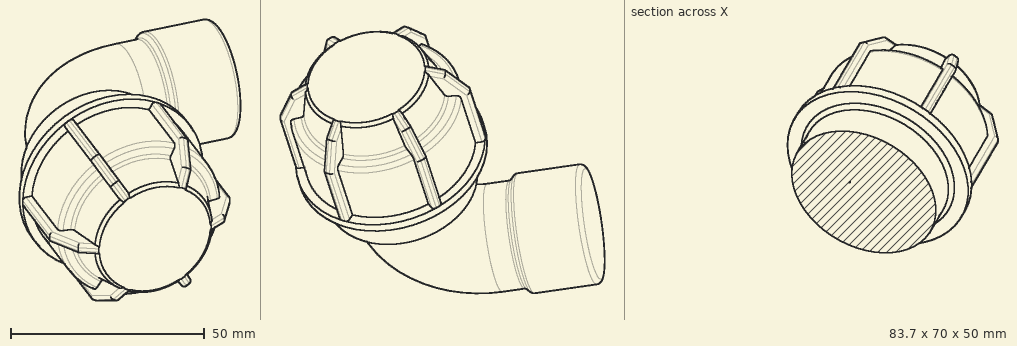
import cadquery as cq
import math


MATCH_TOLERANCE = 0.001

TUBE_RADIUS = 28.22 / 2
INNER_BEND_RADIUS = 5.0
BEND_RADIUS = INNER_BEND_RADIUS + TUBE_RADIUS

SPIGOT_RADIUS = 31.35 / 2
SPIGOT_END = 45.0
SPIGOT_START = 27.0
SPIGOT_STEP = SPIGOT_RADIUS - TUBE_RADIUS
SPIGOT_TIP_FILLET = 1.25
SPIGOT_STEP_FILLET = 1.0

SLEEVE_RADIUS = 20.0
SLEEVE_START = BEND_RADIUS + SLEEVE_RADIUS - TUBE_RADIUS
SLEEVE_END = 35.0
FLARE_LENGTH = 1.2

FLANGE_RADIUS = 25.0
FLANGE_START = SLEEVE_END + FLARE_LENGTH
FLANGE_THICKNESS = 2.5
FLANGE_END = FLANGE_START + FLANGE_THICKNESS

NUT_LENGTH = 31.8
NUT_END = FLANGE_START + NUT_LENGTH
BODY_RADIUS = 22.5
BODY_END = 57.5
BODY_END_RISE = 0.5
NECK_START = BODY_END + BODY_END_RISE
BODY_FILLET = 1.2
NECK_ROOT_RADIUS = 18.8
NECK_END_CHAMFER = 0.9
NECK_END_RADIUS = 16.3
NECK_TIP_RADIUS = NECK_END_RADIUS - NECK_END_CHAMFER
NECK_ROOT_FILLET = 1.0

RIB_COUNT = 6
RIB_WIDTH = 2.8
RIB_EDGE_FILLET = 0.9
RIB_RADIUS = FLANGE_RADIUS
RIB_BEVEL_END = 65.5
RIB_BEVEL_RADIUS = 20.3
RIB_TIP_RADIUS = 15.6
RIB_ROOT_RADIUS = 10.0


def fillet_ring(turned, axis, position, ring_radius, fillet_radius):
    """Round the circular edge of a turned solid at one position along its axis."""
    point = tuple(position if name == axis else 0 for name in "XYZ")
    rings = [
        edge
        for edge in turned.edges("%CIRCLE").vals()
        if math.dist(edge.arcCenter().toTuple(), point) < MATCH_TOLERANCE
        and abs(edge.radius() - ring_radius) < MATCH_TOLERANCE
    ]
    return turned.newObject(rings).fillet(fillet_radius)


def make_bend():
    """Quarter-torus tube joining the two legs."""
    return (
        cq.Workplane("XZ", origin=(0, BEND_RADIUS, 0))
        .circle(TUBE_RADIUS)
        .revolve(90, (BEND_RADIUS, 0, 0), (BEND_RADIUS, 1, 0))
    )


def make_spigot():
    """Tube stub and wider spigot, turned about the Y axis."""
    spigot = (
        cq.Workplane("XY")
        .moveTo(0, BEND_RADIUS)
        .lineTo(TUBE_RADIUS, BEND_RADIUS)
        .lineTo(TUBE_RADIUS, SPIGOT_START - SPIGOT_STEP)
        .lineTo(SPIGOT_RADIUS, SPIGOT_START)
        .lineTo(SPIGOT_RADIUS, SPIGOT_END)
        .lineTo(0, SPIGOT_END)
        .close()
        .revolve(360, (0, 0, 0), (0, 1, 0))
    )
    step_bottom = SPIGOT_START - SPIGOT_STEP
    spigot = fillet_ring(spigot, "Y", step_bottom, TUBE_RADIUS, SPIGOT_STEP_FILLET)
    spigot = fillet_ring(spigot, "Y", SPIGOT_START, SPIGOT_RADIUS, SPIGOT_STEP_FILLET)
    return fillet_ring(spigot, "Y", SPIGOT_END, SPIGOT_RADIUS, SPIGOT_TIP_FILLET)


def make_sleeve_and_nut():
    """Sleeve, flange, nut body and neck, turned about the X axis."""
    turned = (
        cq.Workplane("XY")
        .moveTo(BEND_RADIUS, 0)
        .lineTo(BEND_RADIUS, TUBE_RADIUS)
        .lineTo(SLEEVE_START, SLEEVE_RADIUS)
        .lineTo(SLEEVE_END, SLEEVE_RADIUS)
        .lineTo(FLANGE_START, SLEEVE_RADIUS + FLARE_LENGTH)
        .lineTo(FLANGE_START, FLANGE_RADIUS)
        .lineTo(FLANGE_END, FLANGE_RADIUS)
        .lineTo(FLANGE_END, BODY_RADIUS)
        .lineTo(BODY_END, BODY_RADIUS)
        .lineTo(NECK_START, NECK_ROOT_RADIUS)
        .lineTo(NUT_END - NECK_END_CHAMFER, NECK_END_RADIUS)
        .lineTo(NUT_END, NECK_TIP_RADIUS)
        .lineTo(NUT_END, 0)
        .close()
        .revolve(360, (0, 0, 0), (1, 0, 0))
    )
    turned = fillet_ring(turned, "X", BODY_END, BODY_RADIUS, BODY_FILLET)
    return fillet_ring(turned, "X", NECK_START, NECK_ROOT_RADIUS, NECK_ROOT_FILLET)


def make_rib():
    """One grip rib on the +Y side of the nut with rounded outer edges."""
    rib = (
        cq.Workplane("XY")
        .moveTo(FLANGE_END, RIB_ROOT_RADIUS)
        .lineTo(FLANGE_END, RIB_RADIUS)
        .lineTo(BODY_END, RIB_RADIUS)
        .lineTo(RIB_BEVEL_END, RIB_BEVEL_RADIUS)
        .lineTo(NUT_END, RIB_TIP_RADIUS)
        .lineTo(NUT_END, RIB_ROOT_RADIUS)
        .close()
        .extrude(RIB_WIDTH / 2, both=True)
    )
    crest_edges = [
        edge
        for edge in rib.edges("not |Z").vals()
        if edge.Center().y > RIB_TIP_RADIUS and FLANGE_END < edge.Center().x < NUT_END
    ]
    return rib.newObject(crest_edges).fillet(RIB_EDGE_FILLET)


def make_ribs():
    """Grip ribs spaced evenly around the nut."""
    rib = make_rib()
    ribs = rib
    for number in range(1, RIB_COUNT):
        ribs = ribs.union(rib.rotate((0, 0, 0), (1, 0, 0), number * 360 / RIB_COUNT))
    return ribs


result = make_bend().union(make_spigot()).union(make_sleeve_and_nut()).union(make_ribs())